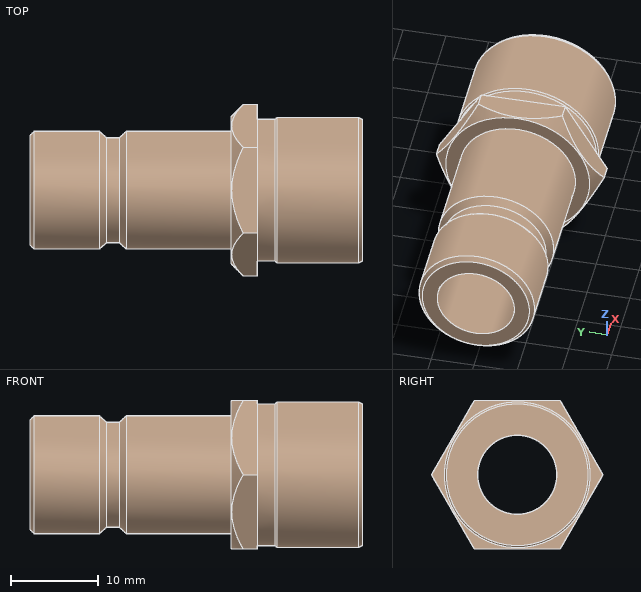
import cadquery as cq
import math

total_length = 38.0
groove_start = 7.95
groove_end = 11.02
hex_start = 22.95
hex_thickness = 3.05
neck_length = 2.0

bore_diameter = 9.0
stem_diameter = 13.5
groove_diameter = 12.05
neck_diameter = 16.23
thread_diameter = 16.65

hex_across_flats = 17.0
hex_face_diameter = 16.8

stem_chamfer = 0.5
groove_wall_run = 0.8
thread_end_length = 0.45
thread_end_depth = 0.23

hex_end = hex_start + hex_thickness
thread_start = hex_end + neck_length
hex_across_corners = hex_across_flats / math.cos(math.radians(30))

stem_radius = stem_diameter / 2
groove_radius = groove_diameter / 2
neck_radius = neck_diameter / 2
thread_radius = thread_diameter / 2
thread_step = thread_radius - neck_radius


def revolve_about_x(profile):
    """Revolve a closed profile of (x, radius) points about the X axis."""
    return cq.Workplane("XY").polyline(profile).close().revolve(360, (0, 0, 0), (1, 0, 0))


def turned_body():
    """Stem with its sloped-wall groove, neck and thread cylinder."""
    return revolve_about_x([
        (0, 0),
        (0, stem_radius - stem_chamfer),
        (stem_chamfer, stem_radius),
        (groove_start, stem_radius),
        (groove_start + groove_wall_run, groove_radius),
        (groove_end - groove_wall_run, groove_radius),
        (groove_end, stem_radius),
        (hex_start, stem_radius),
        (hex_start, neck_radius),
        (thread_start, neck_radius),
        (thread_start + thread_step, thread_radius),
        (total_length - thread_end_length, thread_radius),
        (total_length, thread_radius - thread_end_depth),
        (total_length, 0),
    ])


def hex_flange():
    """Hexagon with corners along Y, its stem side turned to a 45 degree cone."""
    face_radius = hex_face_diameter / 2
    hexagon = (
        cq.Workplane("YZ", origin=(hex_start, 0, 0))
        .polygon(6, hex_across_corners)
        .extrude(hex_thickness)
    )
    cone = revolve_about_x([
        (hex_start, 0),
        (hex_start, face_radius),
        (hex_end, face_radius + hex_thickness),
        (hex_end, 0),
    ])
    return hexagon.intersect(cone)


def bore():
    """Straight through bore."""
    return cq.Workplane("YZ").circle(bore_diameter / 2).extrude(total_length)


result = turned_body().union(hex_flange()).cut(bore())